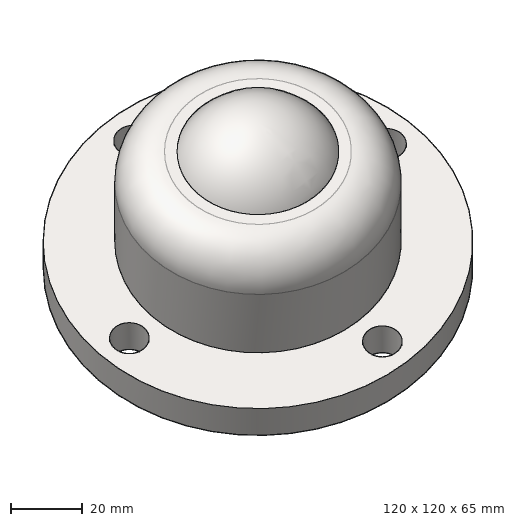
import cadquery as cq

flange_diameter = 120.0
flange_thickness = 12.0
bolt_circle_diameter = 100.0
bolt_hole_diameter = 11.0
bolt_hole_count = 4

barrel_diameter = 80.0
housing_height = 52.0
shoulder_radius = 13.9

ball_radius = 26.0
overall_height = 65.0
ball_center_z = overall_height - ball_radius


def make_ball():
    """Ball that stands proud of the housing top."""
    return cq.Workplane("XY").sphere(ball_radius).translate((0, 0, ball_center_z))


def make_housing(ball):
    """Flanged barrel with a rounded shoulder and a spherical socket for the ball."""
    flange = cq.Workplane("XY").circle(flange_diameter / 2).extrude(flange_thickness)
    barrel = (
        cq.Workplane("XY")
        .circle(barrel_diameter / 2)
        .extrude(housing_height)
        .faces(">Z")
        .edges()
        .fillet(shoulder_radius)
    )
    bolt_holes = (
        cq.Workplane("XY")
        .polarArray(bolt_circle_diameter / 2, 0, 360, bolt_hole_count)
        .circle(bolt_hole_diameter / 2)
        .extrude(flange_thickness)
    )
    return flange.union(barrel).cut(bolt_holes).cut(ball)


ball = make_ball()
housing = make_housing(ball)

result = cq.Compound.makeCompound([housing.val(), ball.val()])